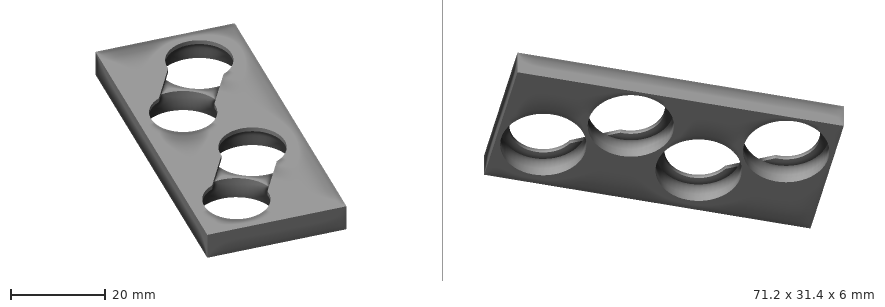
import cadquery as cq
import math

length = 71.15
width = 31.4
thickness = 6.0

lip_thickness = 1.0
pocket_radius = 9.2
opening_radius = 7.25
slot_width = 11.95

pair_pitch = 33.85
pocket_dx = 16.85
pocket_dy = 9.6
pair_center_y = -0.7

lip_bottom = thickness - lip_thickness
pocket_spacing = math.hypot(pocket_dx, pocket_dy)
slot_angle = -math.degrees(math.atan2(pocket_dy, pocket_dx))


def pocket_pair(center_x):
    """Two round pockets open below, narrower openings in the lip and a joining slot."""
    centers = [
        (center_x - pocket_dx / 2, pair_center_y + pocket_dy / 2),
        (center_x + pocket_dx / 2, pair_center_y - pocket_dy / 2),
    ]
    pockets = cq.Workplane("XY").pushPoints(centers).circle(pocket_radius).extrude(lip_bottom)
    lip_plane = cq.Workplane("XY").workplane(offset=lip_bottom)
    openings = lip_plane.pushPoints(centers).circle(opening_radius).extrude(lip_thickness)
    slot = (
        cq.Workplane("XY")
        .box(pocket_spacing, slot_width, lip_thickness, centered=(True, True, False))
        .rotate((0, 0, 0), (0, 0, 1), slot_angle)
        .translate((center_x, pair_center_y, lip_bottom))
    )
    return pockets, openings.union(slot)


result = cq.Workplane("XY").box(length, width, thickness, centered=(True, True, False))
for pair_center_x in (-pair_pitch / 2, pair_pitch / 2):
    for cutter in pocket_pair(pair_center_x):
        result = result.cut(cutter)